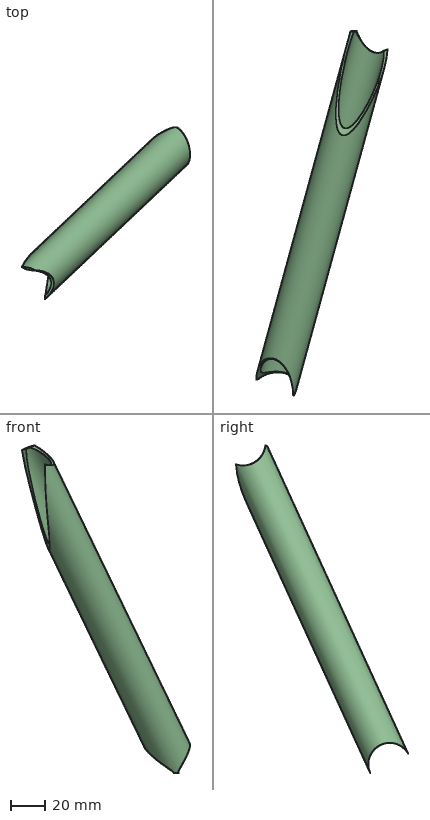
import cadquery as cq
import math

tube_radius = 12.4
wall = 1.5
axis_x = -3.2
axis_y = -2.5
run_x = 48.4
run_y = 45.8
drop = 100
upper_length = 106.4
blank_lower_length = 133.2

leaning_saddle_radius = 19.8
leaning_saddle_x = -54.6
leaning_saddle_y = -41.5
leaning_saddle_z = 66.6
lean_to_left = 3.4
lean_to_front = 22

upper_cross_y = -46.3
upper_cross_z = 96.3
upper_cross_radius = 13.0
lower_cross_y = 38.8
lower_cross_z = -90.0
lower_cross_radius = 12.4

cutter_half_length = 190.3

tube_center = cq.Vector(axis_x, axis_y, 0)
tube_axis = cq.Vector(run_x, run_y, -drop).normalized()
tube_angle_in_yz = math.degrees(math.atan2(-drop, run_y))


def rod(center, direction, radius, back, ahead):
    """Solid round bar through a point, reaching back and ahead of it."""
    start = center - direction * back
    return cq.Workplane(cq.Solid.makeCylinder(radius, back + ahead, start, direction))


def make_tube():
    outside = rod(tube_center, tube_axis, tube_radius, upper_length, blank_lower_length)
    bore = rod(tube_center, tube_axis, tube_radius - wall, upper_length, blank_lower_length)
    return outside.cut(bore)


def leaning_saddle():
    center = cq.Vector(leaning_saddle_x, leaning_saddle_y, leaning_saddle_z)
    lean_x = -math.tan(math.radians(lean_to_left))
    lean_y = -math.tan(math.radians(lean_to_front))
    direction = cq.Vector(lean_x, lean_y, 1).normalized()
    return rod(center, direction, leaning_saddle_radius, cutter_half_length, cutter_half_length)


def cross_saddle(y, z, radius, outward_angle):
    """Round cut along X that also clears the waste beyond it, away from the tube."""
    waste_length = cutter_half_length / 2
    center = cq.Vector(0, y, z)
    round_cut = rod(center, cq.Vector(1, 0, 0), radius, cutter_half_length, cutter_half_length)
    waste = (
        cq.Workplane("XY")
        .box(2 * cutter_half_length, waste_length, 4 * radius)
        .translate((0, waste_length / 2, 0))
        .rotate((0, 0, 0), (1, 0, 0), outward_angle)
        .translate(center)
    )
    return round_cut.union(waste)


upper_cross = cross_saddle(upper_cross_y, upper_cross_z, upper_cross_radius, tube_angle_in_yz + 180)
lower_cross = cross_saddle(lower_cross_y, lower_cross_z, lower_cross_radius, tube_angle_in_yz)

coped = make_tube().cut(lower_cross).cut(upper_cross).cut(leaning_saddle())

result = coped.solids(cq.selectors.NearestToPointSelector(tube_center.toTuple()))